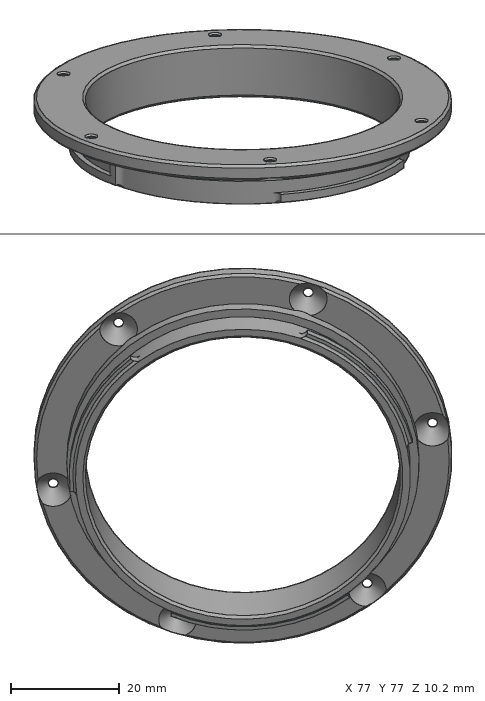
import cadquery as cq
import math

total_height = 10.2
flange_depth = 3.0
shoulder_depth = 5.15
tab_top_depth = 8.2
under_tab_fillet = 0.5
tab_bottom_depth = total_height - under_tab_fillet

flange_diameter = 77.0
bore_diameter = 58.0
shoulder_diameter = 64.9
neck_diameter = 61.7
tab_diameter = 64.0
edge_chamfer = 0.5

hole_count = 6
hole_circle_diameter = 71.0
hole_diameter = 1.8
hole_chamfer = 0.3
countersink_diameter = 6.9

stop_tab = (180.3, 246.8)
plain_tabs = [(302.5, 362.0), (60.0, 119.5)]
stop_start_angle = 242.1

neck_radius = neck_diameter / 2
tab_radius = tab_diameter / 2
root_radius = (bore_diameter + neck_diameter) / 4
end_fillet = tab_radius - neck_radius


def disc(diameter, top_depth, bottom_depth):
    """Solid disc between two depths below the top face."""
    return (
        cq.Workplane("XY")
        .workplane(offset=-bottom_depth)
        .circle(diameter / 2)
        .extrude(bottom_depth - top_depth)
    )


def bevel(diameter, width):
    """Cone that chamfers the upper rim of a round opening at the top face."""
    return (
        cq.Workplane("XY")
        .circle(diameter / 2 + width)
        .workplane(offset=-width)
        .circle(diameter / 2)
        .loft()
    )


def underside(tool, depth):
    """Flip a top face tool over so that it works upward from the given depth."""
    return tool.mirror("XY").translate((0, 0, -depth))


def polar(radius, angle):
    """Point at a radius and an angle in degrees."""
    return radius * math.cos(math.radians(angle)), radius * math.sin(math.radians(angle))


def sweep_around(section, start, end):
    """Revolve a radial section about Z between two angles."""
    return section.revolve(end - start, (0, 0), (0, 1)).rotate((0, 0, 0), (0, 0, 1), start)


def hollow_end(angle):
    """Cylinder that hollows a tab end so that it runs smoothly into the neck."""
    return disc(2 * end_fillet, shoulder_depth, total_height).translate((*polar(tab_radius, angle), 0))


def bayonet_tab(angles):
    """Tab with a concave fillet under it and concave ends."""
    start, end = angles
    arc_offset = under_tab_fillet * (1 - math.sqrt(0.5))
    section = (
        cq.Workplane("XZ")
        .moveTo(root_radius, -tab_top_depth)
        .lineTo(tab_radius, -tab_top_depth)
        .lineTo(tab_radius, -tab_bottom_depth)
        .lineTo(neck_radius + under_tab_fillet, -tab_bottom_depth)
        .threePointArc(
            (neck_radius + arc_offset, -tab_bottom_depth - arc_offset),
            (neck_radius, -total_height),
        )
        .lineTo(root_radius, -total_height)
        .close()
    )
    tab = sweep_around(section, start, end)
    for angle in angles:
        tab = tab.cut(hollow_end(angle))
    return tab


def rotation_stop():
    """Post that closes the gap between the shoulder and the end of the stop tab."""
    start, end = stop_start_angle, stop_tab[1]
    section = (
        cq.Workplane("XZ")
        .moveTo(root_radius, -shoulder_depth)
        .lineTo(tab_radius, -shoulder_depth)
        .lineTo(tab_radius, -tab_bottom_depth)
        .lineTo(root_radius, -tab_bottom_depth)
        .close()
    )
    return sweep_around(section, start, end).cut(hollow_end(end))


flange = disc(flange_diameter, 0, flange_depth).edges().chamfer(edge_chamfer)

screw_hole = disc(hole_diameter, 0, flange_depth)
hole_mouth = bevel(hole_diameter, hole_chamfer)
countersink_width = (countersink_diameter - hole_diameter) / 2
countersink = underside(bevel(hole_diameter, countersink_width), flange_depth)
hole_tool = screw_hole.union(hole_mouth).union(countersink)
for index in range(hole_count):
    hole_position = polar(hole_circle_diameter / 2, index * 360 / hole_count)
    flange = flange.cut(hole_tool.translate((*hole_position, 0)))

shoulder = disc(shoulder_diameter, 0, shoulder_depth)
neck = disc(neck_diameter, shoulder_depth, total_height)
body = flange.union(shoulder).union(neck)

for tab_angles in [stop_tab] + plain_tabs:
    body = body.union(bayonet_tab(tab_angles))
body = body.union(rotation_stop())

bore = disc(bore_diameter, 0, total_height)
upper_bevel = bevel(bore_diameter, edge_chamfer)
lower_bevel = underside(upper_bevel, total_height)
body = body.cut(bore).cut(upper_bevel).cut(lower_bevel)

result = body